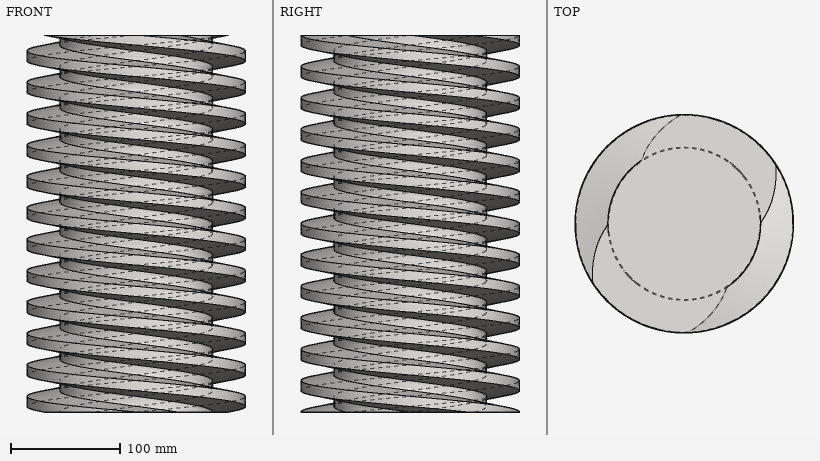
import cadquery as cq
import math

length = 344.5
outer_radius = 199.8 / 2
root_radius = 139.8 / 2
starts = 2
turns = 6
lead = length / turns
rib_spacing = lead / starts

crest_width = 9.3
flank_width = 5.0
root_width = rib_spacing - crest_width - 2 * flank_width

degrees_per_unit = 360.0 / lead
crest_angle = crest_width * degrees_per_unit
flank_angle = flank_width * degrees_per_unit
root_angle = root_width * degrees_per_unit
crest_centre_angle = 62.4


def polar(radius, angle):
    """Point at a radius and an angle in degrees."""
    return (radius * math.cos(math.radians(angle)), radius * math.sin(math.radians(angle)))


def spiral(start_radius, end_radius, start_angle):
    """Flank in section: the radius changes evenly with the angle."""
    return lambda t: polar(start_radius + t * (end_radius - start_radius), start_angle + t * flank_angle)


def add_start(outline, angle):
    """Add one crest, its two flanks and the following root, going counterclockwise."""
    crest_end = angle + crest_angle
    root_start = crest_end + flank_angle
    root_end = root_start + root_angle
    outline = outline.threePointArc(polar(outer_radius, angle + crest_angle / 2), polar(outer_radius, crest_end))
    outline = outline.parametricCurve(spiral(outer_radius, root_radius, crest_end), N=8, makeWire=False)
    outline = outline.threePointArc(polar(root_radius, root_start + root_angle / 2), polar(root_radius, root_end))
    return outline.parametricCurve(spiral(root_radius, outer_radius, root_end), N=8, makeWire=False)


first_angle = crest_centre_angle - crest_angle / 2
section = cq.Workplane("XY").moveTo(*polar(outer_radius, first_angle))
for start in range(starts):
    section = add_start(section, first_angle + start * 360.0 / starts)
section = section.wire()

result = section.twistExtrude(length, -360.0 * turns)